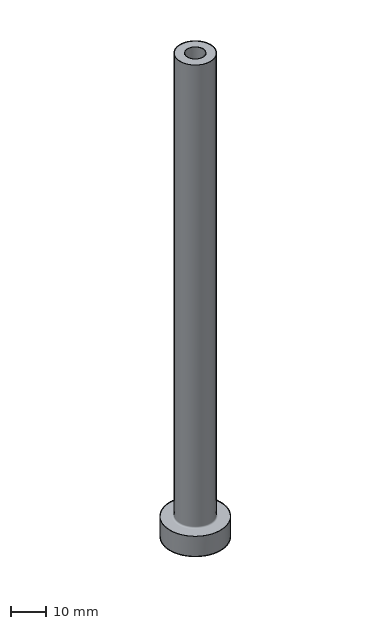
import cadquery as cq

total_length = 167.0
head_diameter = 20.0
head_height = 7.0
shaft_diameter = 12.0
bore_diameter = 6.0
root_radius = 0.5

head_radius = head_diameter / 2
shaft_radius = shaft_diameter / 2
bore_radius = bore_diameter / 2

half_section = (
    cq.Workplane("XZ")
    .moveTo(bore_radius, 0)
    .lineTo(head_radius, 0)
    .lineTo(head_radius, head_height)
    .lineTo(shaft_radius + root_radius, head_height)
    .radiusArc((shaft_radius, head_height + root_radius), root_radius)
    .lineTo(shaft_radius, total_length)
    .lineTo(bore_radius, total_length)
    .close()
)

result = half_section.revolve(360, (0, 0), (0, 1))